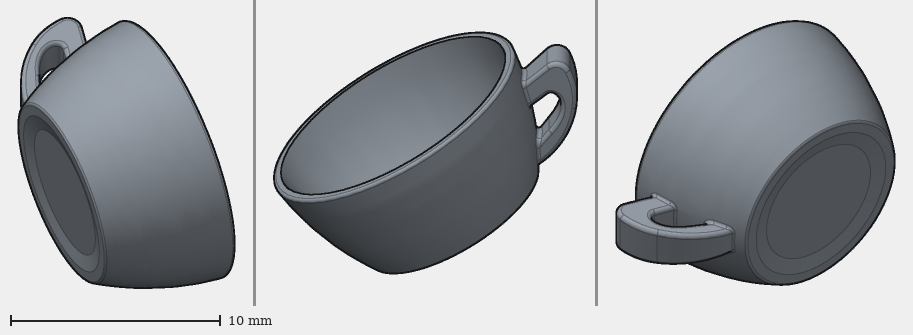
import cadquery as cq

height = 6.0
rim_radius = 6.6
waist_radius = 5.93
waist_height = 2.9
foot_radius = 4.6
edge_round = 0.15
wall = 0.46
cavity_waist_rise = wall / 2

recess_mouth_radius = 4.0
recess_floor_radius = 3.21
recess_depth = 0.18

handle_wide_x = -9.22
handle_root_x = -4.61
handle_wide_half_width = 1.2
handle_blank_half_width = 1.54
handle_root_half_width = 0.7
handle_round = 0.22
root_fillet = 0.15

upper_root = (handle_root_x, 4.33)
tip_top = (-7.91, 5.13)
tip_outermost = (-8.77, 4.41)
outer_bend = (-8.06, 2.49)
lower_root = (handle_root_x, 0.55)
window_lower_root = (handle_root_x, 1.3)
window_lower_bend = (-6.3, 2.03)
window_end_curve = [(-6.91, 2.35), (-7.5, 3.01), (-7.53, 3.53)]
window_upper_bend = (-7.19, 3.75)
window_upper_root = (handle_root_x, 3.2)


def turned(profile):
    """Revolve an XY half profile about the Y axis."""
    return profile.close().revolve(360, (0, 0, 0), (0, 1, 0))


def make_bowl():
    """Solid bowl with an arched side and rounded foot and rim edges."""
    profile = (
        cq.Workplane("XY")
        .lineTo(foot_radius, 0)
        .threePointArc((waist_radius, waist_height), (rim_radius, height))
        .lineTo(0, height)
    )
    return turned(profile).faces("<Y or >Y").edges().fillet(edge_round)


def make_cavity():
    """Inside of the bowl, following the arched side one wall thickness in."""
    floor_height = recess_depth + wall
    profile = (
        cq.Workplane("XY")
        .moveTo(0, floor_height)
        .lineTo(foot_radius - wall, floor_height)
        .threePointArc((waist_radius - wall, waist_height + cavity_waist_rise), (rim_radius - wall, height))
        .lineTo(0, height)
    )
    return turned(profile)


def make_foot_recess():
    """Shallow cone sunk into the underside."""
    profile = (
        cq.Workplane("XY")
        .lineTo(recess_mouth_radius, 0)
        .lineTo(recess_floor_radius, recess_depth)
        .lineTo(0, recess_depth)
    )
    return turned(profile)


def direction(start, end):
    """Vector from one outline point to another."""
    return (end[0] - start[0], end[1] - start[1])


def make_handle():
    """Curved ear, open towards the bowl, with ends buried in the bowl."""
    blank = (
        cq.Workplane("XY", origin=(0, 0, -handle_blank_half_width))
        .moveTo(*upper_root)
        .lineTo(*tip_top)
        .tangentArcPoint(tip_outermost, relative=False)
        .tangentArcPoint(outer_bend, relative=False)
        .tangentArcPoint(lower_root, relative=False)
        .lineTo(*window_lower_root)
        .lineTo(*window_lower_bend)
        .spline(
            window_end_curve + [window_upper_bend],
            tangents=[
                direction(window_lower_root, window_lower_bend),
                direction(window_upper_bend, window_upper_root),
            ],
            includeCurrent=True,
        )
        .lineTo(*window_upper_root)
        .close()
        .extrude(2 * handle_blank_half_width)
    )
    taper = (
        cq.Workplane("XZ")
        .polyline([
            (handle_wide_x, -handle_wide_half_width),
            (handle_root_x, -handle_root_half_width),
            (handle_root_x, handle_root_half_width),
            (handle_wide_x, handle_wide_half_width),
        ])
        .close()
        .extrude(-height)
    )
    ear = blank.intersect(taper)
    return ear.faces("<Z or >Z").edges("not >X").fillet(handle_round)


def join_handle(bowl, handle):
    """Union the handle to the bowl and blend the seam where they meet."""
    cup = bowl.union(handle)
    bowl_side = max(
        (face for face in cup.faces().vals() if face.geomType() != "PLANE"),
        key=lambda face: face.Area(),
    )
    seam = [edge for wire in bowl_side.innerWires() for edge in wire.Edges()]
    return cup.newObject(seam).fillet(root_fillet)


cup = join_handle(make_bowl(), make_handle())
result = cup.cut(make_cavity()).cut(make_foot_recess())